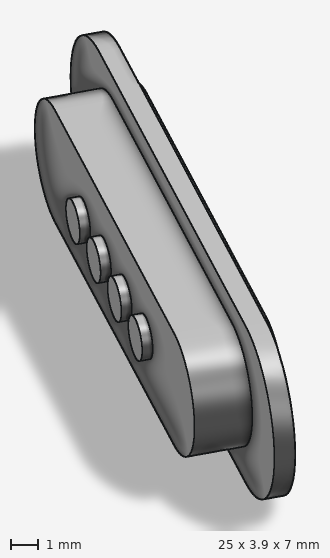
import cadquery as cq

flange_length = 25
flange_height = 7
flange_thickness = 0.8

body_length = 19.6
body_height = 5
body_front_depth = 2.2
body_back_depth = 0.5

pin_count = 4
pin_pitch = 2.55
pin_diameter = 1.7
pin_projection = 0.4

flange_back = flange_thickness
body_back = flange_back + body_back_depth
body_front = -body_front_depth
pin_front = body_front - pin_projection


def rounded_plate(length, height, front, back):
    """Block with semicircular ends, running in Y from front to back."""
    return (
        cq.Workplane("XZ", origin=(0, back, 0))
        .slot2D(length, height)
        .extrude(back - front)
    )


def contact_pins():
    """Row of round pins, seated on the front face of the body."""
    return (
        cq.Workplane("XZ", origin=(0, body_front, 0))
        .rarray(pin_pitch, 0.25, pin_count, 1)
        .circle(pin_diameter / 2)
        .extrude(body_front - pin_front)
    )


flange = rounded_plate(flange_length, flange_height, 0, flange_back)
body = rounded_plate(body_length, body_height, body_front, body_back)

result = flange.union(body).union(contact_pins())